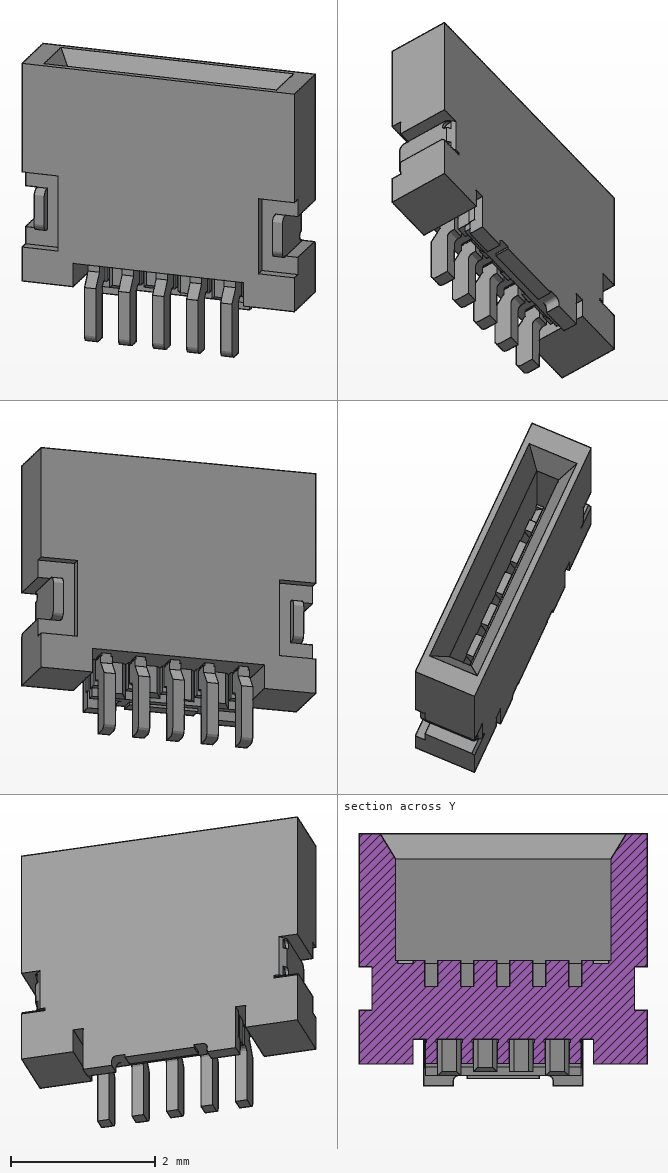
import cadquery as cq
import math


width = 4.0
depth = 0.9
top_z = 4.0
foot_z = 0.8
body_z = 1.145
foot_gap = 2.5

funnel_width = 3.415
funnel_front_y = 0.09
funnel_back_y = 0.81
funnel_depth = 0.35
slot_width = 2.99
slot_front_y = 0.295
slot_back_y = 0.63
slot_draft = 0.03
draft_height = 0.535
slot_floor_z = 2.2
slot_floor_fall = 0.01
rib_row_y = 0.4
rib_height = 0.04
ramp_pocket_width = 0.21
ramp_pocket_x = 1.355
ramp_pocket_fall = 0.145

recess_width = 0.53
recess_depth = 0.15
recess_low_z = 1.3
recess_high_z = 2.405
notch_low_z = 1.55
notch_high_z = 2.15
notch_depth = 0.34
blade_inset = 0.175
blade_thickness = 0.15
blade_round = 0.1
blade_chamfer = 0.09
dimple_depth = blade_chamfer / 2
dimple_radius = 0.065
dimple_reach = 0.16
dimple_inset = 0.09
notch_lip_chamfer = 0.04

pin_count = 5
pin_pitch = 0.5
pin_width = 0.17
pin_neck_width = 0.135
pin_neck_z = 1.105
pin_leg_depth = 0.28
pin_tip_round = 0.105
pin_bend_low_z = 0.81
pin_bend_high_z = 1.0
pin_bend = 0.155
pin_bend_radius = 0.08
pin_back_y = 0.4
contact_back_y = 0.37
contact_top_z = 2.16
contact_lead_fall = 0.17
cavity_width = 0.175
cavity_depth = 0.32
pad_front_y = 0.47
pad_back_y = 0.65
pad_z = 0.765

tail_width = 2.21
tail_thickness = 0.21
tail_z = 0.5
tail_notch_width = 1.385
tail_notch_z = 0.64
tail_notch_round = 0.07
tongue_width = 2 * pin_pitch
tongue_z = 0.6
tail_step_z = 0.75
tail_upper_thickness = 0.135
tail_step_width = 0.03
layer_thickness = 0.32
layer_z = 0.64
boss_height = 0.06
boss_width = 0.325
inner_boss_z = 0.7
boss_bevel = 0.055


def block(x0, x1, y0, y1, z0, z1):
    """Box between two opposite corners."""
    return cq.Workplane("XY").box(x1 - x0, y1 - y0, z1 - z0, centered=False).translate((x0, y0, z0))


def centred_block(x, x_size, y0, y1, z0, z1):
    """Box centred on x."""
    return block(x - x_size / 2, x + x_size / 2, y0, y1, z0, z1)


def side_prism(points, x, x_size):
    """Prism of a (Y, Z) outline, centred on x."""
    outline = cq.Workplane("YZ").polyline(points).close()
    return outline.extrude(x_size / 2, both=True).translate((x, 0, 0))


def both_sides(shape):
    """The shape together with its mirror image on the other end of the part."""
    return shape.union(shape.mirror("YZ"))


def make_housing():
    shell = centred_block(0, width, 0, depth, foot_z, top_z)
    return shell.cut(centred_block(0, foot_gap, 0, depth, foot_z, body_z))


def make_card_mouth():
    funnel_z = top_z - funnel_depth
    funnel_mid_y = (funnel_front_y + funnel_back_y) / 2
    slot_mid_y = (slot_front_y + slot_back_y) / 2
    funnel = (
        cq.Workplane("XY", origin=(0, funnel_mid_y, top_z))
        .rect(funnel_width, funnel_back_y - funnel_front_y)
        .workplane(offset=-funnel_depth)
        .center(0, slot_mid_y - funnel_mid_y)
        .rect(slot_width, slot_back_y - slot_front_y)
        .loft(ruled=True)
    )
    drafted_y = slot_back_y - slot_draft
    rib_z = slot_floor_z + rib_height
    card_slot = side_prism(
        [
            (slot_front_y, funnel_z),
            (slot_front_y, rib_z),
            (rib_row_y, rib_z),
            (rib_row_y, slot_floor_z),
            (drafted_y, slot_floor_z - slot_floor_fall),
            (drafted_y, funnel_z - draft_height),
            (slot_back_y, funnel_z),
        ],
        0,
        slot_width,
    )
    ramp_pocket = side_prism(
        [(slot_front_y, rib_z), (slot_front_y, rib_z - ramp_pocket_fall), (rib_row_y, rib_z)],
        ramp_pocket_x,
        ramp_pocket_width,
    )
    return funnel.union(card_slot).union(both_sides(ramp_pocket))


def make_latch_cut():
    """Front recess and side notch for one latch, at the left end."""
    edge = -width / 2
    recess = block(edge, edge + recess_width, 0, recess_depth, recess_low_z, recess_high_z)
    notch = block(edge, edge + notch_depth, 0, depth, notch_low_z, notch_high_z)
    lip = side_prism(
        [
            (depth, notch_low_z),
            (depth - notch_lip_chamfer, notch_low_z),
            (depth, notch_low_z - notch_lip_chamfer),
        ],
        edge + notch_depth / 2,
        notch_depth,
    )
    return recess.union(notch).union(lip)


def make_blade():
    """Latch blade at the left end, with its back part grown into the notch wall."""
    outer_x = -width / 2 + blade_inset
    root_x = -width / 2 + notch_depth
    blade = block(outer_x, outer_x + blade_thickness, 0, depth, notch_low_z, notch_high_z)
    blade = blade.edges("|X and <Y").fillet(blade_round)
    blade = blade.union(block(outer_x, root_x, recess_depth, depth, notch_low_z, notch_high_z))
    blade = blade.edges("|Z and <X and >Y").chamfer(blade_chamfer)
    for z in (notch_low_z + dimple_inset, notch_high_z - dimple_inset):
        centre_y = depth - dimple_reach + dimple_radius
        dimple = (
            cq.Workplane("YZ", origin=(outer_x, 0, 0))
            .moveTo(depth, z - dimple_radius)
            .lineTo(centre_y, z - dimple_radius)
            .threePointArc((depth - dimple_reach, z), (centre_y, z + dimple_radius))
            .lineTo(depth, z + dimple_radius)
            .close()
            .extrude(dimple_depth)
        )
        blade = blade.cut(dimple)
    return blade


def make_pin(x):
    """Cranked pin: leg, bend, stem and the contact inside the housing."""
    inside_z = pin_bend_low_z
    arc_reach = pin_bend_radius * (1 - math.sqrt(0.5))
    pin = (
        cq.Workplane("YZ")
        .moveTo(pin_tip_round, 0)
        .lineTo(pin_leg_depth, 0)
        .lineTo(pin_leg_depth, inside_z - pin_bend_radius)
        .threePointArc(
            (pin_leg_depth + arc_reach, inside_z - arc_reach),
            (pin_leg_depth + pin_bend_radius, inside_z),
        )
        .lineTo(pin_back_y, inside_z)
        .lineTo(pin_back_y, pin_neck_z)
        .lineTo(pin_bend, pin_neck_z)
        .lineTo(pin_bend, pin_bend_high_z)
        .lineTo(0, pin_bend_low_z)
        .lineTo(0, pin_tip_round)
        .radiusArc((pin_tip_round, 0), -pin_tip_round)
        .close()
        .extrude(pin_width / 2, both=True)
        .translate((x, 0, 0))
    )
    neck = centred_block(x, pin_neck_width, pin_bend, pin_back_y, pin_neck_z, body_z)
    cavity_floor_z = slot_floor_z - cavity_depth
    contact = side_prism(
        [
            (slot_front_y, cavity_floor_z),
            (contact_back_y, cavity_floor_z),
            (contact_back_y, contact_top_z - contact_lead_fall),
            (slot_front_y, contact_top_z),
        ],
        x,
        pin_width,
    )
    pad = centred_block(x, pin_width, pad_front_y, pad_back_y, pad_z, body_z)
    return pin.union(neck).union(contact).union(pad)


def make_cavity(x):
    floor_z = slot_floor_z - cavity_depth
    return centred_block(x, cavity_width, slot_front_y, rib_row_y, floor_z, slot_floor_z + rib_height)


def make_tail():
    front_y = depth - tail_thickness
    tail = centred_block(0, tail_width, front_y, depth, tail_z, body_z)
    notch = centred_block(0, tail_notch_width, front_y, depth, tail_z, tail_notch_z)
    notch = notch.edges("|Y and >Z").fillet(tail_notch_round)
    tail = tail.cut(notch)
    tail = tail.union(centred_block(0, tongue_width, front_y, depth, tongue_z, tail_notch_z))
    step_y = depth - tail_upper_thickness
    step_x = -tail_width / 2
    step = block(step_x, step_x + tail_step_width, front_y, step_y, tail_step_z, body_z)
    tail = tail.cut(both_sides(step))
    layer_width = tail_width - 2 * tail_step_width
    layer_y = depth - layer_thickness
    return tail.union(centred_block(0, layer_width, layer_y, step_y, layer_z, body_z))


def make_boss(x, low_z, bevelled):
    """Guide boss with 45 degree flanks and an optional bevel along its lower edge."""
    base_y = depth - layer_thickness
    face_y = base_y - boss_height
    boss = (
        cq.Workplane("XY", origin=(x, 0, low_z))
        .polyline(
            [
                (-boss_width / 2, base_y),
                (-boss_width / 2 + boss_height, face_y),
                (boss_width / 2 - boss_height, face_y),
                (boss_width / 2, base_y),
            ]
        )
        .close()
        .extrude(body_z - low_z)
    )
    if bevelled:
        wedge = [(base_y, low_z), (face_y, low_z), (face_y, low_z + boss_bevel)]
        boss = boss.cut(side_prism(wedge, x, boss_width))
    return boss


result = make_housing().cut(make_card_mouth()).cut(both_sides(make_latch_cut()))
result = result.union(both_sides(make_blade())).union(make_tail())

for pitch_steps, boss_z, bevelled in (
    (-1.5, layer_z, True),
    (-0.5, inner_boss_z, True),
    (0.5, inner_boss_z, False),
    (1.5, layer_z, True),
):
    result = result.union(make_boss(pitch_steps * pin_pitch, boss_z, bevelled))

for index in range(pin_count):
    pin_x = (index - (pin_count - 1) / 2) * pin_pitch
    result = result.cut(make_cavity(pin_x)).union(make_pin(pin_x))